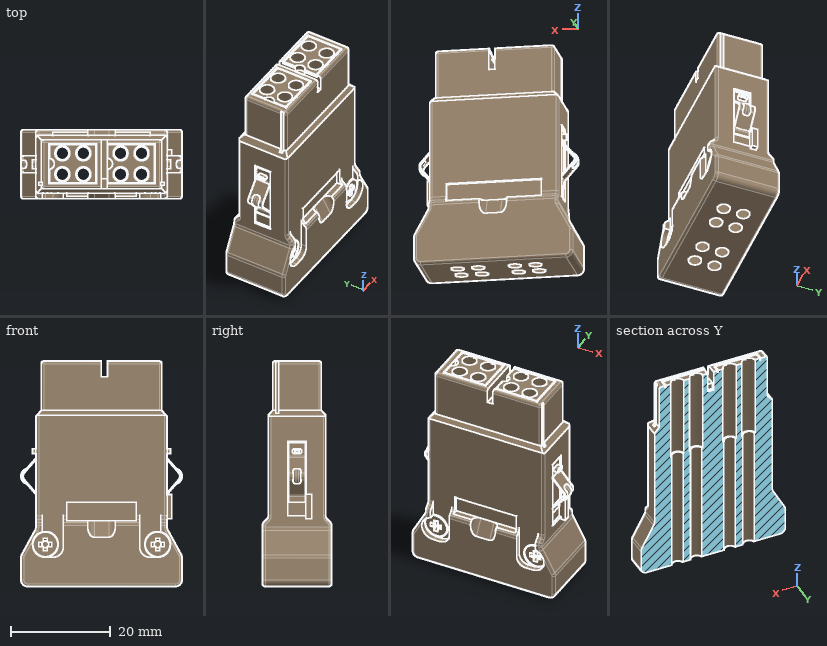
import cadquery as cq
import math

base_width = 32.4
base_depth = 13.9
base_side_height = 6.1
flare_top = 11.65
side_corner_radius = 1.35
edge_radius = 0.55

body_width = 26.35
body_depth = 11.55
body_top = 35.4
shoulder_side_drop = 1.22
shoulder_front_drop = 0.95

base_front_height = 12.7
slope_top = base_front_height + (base_depth - body_depth) / 2
slope_foot_radius = 0.85
slope_radius = 1.1

head_width = 24.25
head_depth = 9.85
total_height = 45.3

key_slot_left = -0.05
key_slot_width = 1.22
key_slot_floor = 42.15
key_slot_inner_floor = 40.75
key_slot_lip = 2.05

insert_width = 9.65
insert_depth = 8.05
insert_centers = (-5.75, 5.95)
insert_y = 0.1
seam_width = 0.2
seam_depth = 0.45
contact_pitch = 4.2
contact_diameter = 3.0
contact_depth = 18.1
bore_diameter = 2.6
notch_diameter = 2.2
notch_depth = 1.35

guide_width = 0.6
guide_y = -3.95
guide_inset = 0.2
guide_outset = 0.55
guide_bottom = 34.85

front_window_width = 14.05
back_window_width = 19.5
window_bottom = 13.25
window_top = 16.95
window_recess = 0.7

scoop_flat_width = 3.0
scoop_width = 5.6
scoop_bottom = 9.9
scoop_top = window_bottom

screw_x = 11.3
screw_z = 8.45
screw_head_diameter = 5.0
screw_clearance = 0.1
screw_gap_depth = 0.23
recess_outer_x = 11.9
recess_inner_x = 7.65
recess_corner_radius = 2.1
drive_span = 2.55
drive_core = 1.35
drive_arm_width = 0.85
drive_depth = 0.7
drive_core_depth = 0.9

spring_pocket_width = 3.65
spring_pocket_bottom = 14.2
spring_pocket_top = 29.2
spring_pocket_depth = 0.45
spring_width = 3.35
spring_thickness = 0.23
spring_bottom = 16.9
spring_top = 28.9
bow_bottom = 18.25
bow_top = 26.05
bow_radius = 1.15
bow_foot_radius = 0.45
bead_width = 2.0
bead_radius = 1.6
bead_edge_radius = 0.72
bead_height = 0.2
stud_z = 27.2
stud_width = 1.9
stud_height = 1.0
stud_reach = 0.7
stud_slot_width = 1.0
stud_slot_height = 0.35

coding_rib_reach = 0.95
coding_rib_y = 1.7
coding_rib_width = 1.22
coding_rib_bottom = 13.6
coding_rib_top = 18.55

body_side = body_width / 2
body_front = body_depth / 2
base_front = base_depth / 2
base_top = slope_top + slope_radius
window_panel = body_front - window_recess
screw_pocket_radius = screw_head_diameter / 2 + screw_clearance
bow_apex_z = (bow_bottom + bow_top) / 2


def block(x_min, x_max, y_min, y_max, z_min, z_max):
    size = (x_max - x_min, y_max - y_min, z_max - z_min)
    return cq.Workplane("XY").box(*size, centered=False).translate((x_min, y_min, z_min))


def centered_block(width, depth, z_min, z_max):
    return block(-width / 2, width / 2, -depth / 2, depth / 2, z_min, z_max)


def extrude_along_y(points, depth):
    """Extrude an outline of (x, z) points symmetrically along Y."""
    return cq.Workplane("XZ").polyline(points).close().extrude(depth / 2, both=True)


def extrude_along_x(points, width):
    """Extrude an outline of (y, z) points symmetrically along X."""
    return cq.Workplane("YZ").polyline(points).close().extrude(width / 2, both=True)


def mirrored_outline(points):
    """Complete a right-hand outline, listed bottom to top, with its left-hand mirror."""
    return points + [(-u, v) for u, v in reversed(points)]


def fillet_near(solid, direction, z, radius):
    """Round the edges of one direction that lie at height z."""
    tolerance = 0.1
    band = cq.selectors.BoxSelector(
        (-base_width, -base_depth, z - tolerance), (base_width, base_depth, z + tolerance)
    )
    return solid.edges(direction).edges(band).fillet(radius)


def make_base():
    """Flared base with front and back slopes up to the body."""
    half = base_width / 2
    outline = mirrored_outline([
        (half, 0),
        (half, base_side_height),
        (body_side, flare_top),
        (body_side, base_top),
    ])
    base = extrude_along_y(outline, base_depth)
    below_body = cq.selectors.BoxSelector(
        (-base_width, -base_depth, -0.45), (base_width, base_depth, flare_top + 0.45)
    )
    base = base.edges("|Y").edges(below_body).fillet(side_corner_radius)
    profile = mirrored_outline([
        (base_front, 0),
        (base_front, base_front_height),
        (body_front, slope_top),
        (body_front, base_top),
    ])
    envelope = extrude_along_x(profile, base_width)
    envelope = fillet_near(envelope, "|X", slope_top, slope_radius)
    envelope = fillet_near(envelope, "|X", base_front_height, slope_foot_radius)
    base = base.intersect(envelope)
    return base.faces("<Z").edges("|X").fillet(edge_radius)


def make_body():
    """Upright body with a chamfered shoulder around the head."""
    body = centered_block(body_width, body_depth, base_side_height, body_top)
    body = body.edges("|Z").fillet(edge_radius)
    head_front = head_depth / 2
    head_side = head_width / 2
    front_outline = mirrored_outline([
        (body_side, 0),
        (body_side, body_top - shoulder_side_drop),
        (head_side, body_top),
    ])
    side_outline = mirrored_outline([
        (body_front, 0),
        (body_front, body_top - shoulder_front_drop),
        (head_front, body_top),
    ])
    body = body.intersect(extrude_along_y(front_outline, body_depth))
    return body.intersect(extrude_along_x(side_outline, body_width))


def make_head():
    """Block rising through the shoulder, with rounded upper edges."""
    head = centered_block(head_width, head_depth, base_side_height, total_height)
    return head.edges("|Z or >Z").fillet(edge_radius)


def key_slot():
    """Slot splitting the two inserts, deeper behind its front lip."""
    right = key_slot_left + key_slot_width
    front = -head_depth / 2
    slot = block(key_slot_left, right, front, -front, key_slot_floor, total_height)
    inner = block(key_slot_left, right, front + key_slot_lip, -front, key_slot_inner_floor, total_height)
    return slot.union(inner)


def insert_cuts(x):
    """Seam around one insert, its polarising notch and its four contact holes."""
    top = cq.Workplane("XY", origin=(x, insert_y, total_height))
    seam = (
        top.rect(insert_width, insert_depth)
        .rect(insert_width - 2 * seam_width, insert_depth - 2 * seam_width)
        .extrude(-seam_depth)
    )
    notch = top.center(-insert_width / 2, 0).circle(notch_diameter / 2).extrude(-notch_depth)
    notch = notch.intersect(
        block(x - insert_width / 2, x, -head_depth, head_depth, 0, total_height)
    )
    holes = top.rarray(contact_pitch, contact_pitch, 2, 2)
    contacts = holes.circle(contact_diameter / 2).extrude(-contact_depth)
    bores = holes.circle(bore_diameter / 2).extrude(-total_height)
    return seam.union(notch).union(contacts).union(bores)


def guide_groove(side):
    """Shallow groove down one end of the head, running out into the shoulder."""
    groove = block(
        head_width / 2 - guide_inset, head_width / 2 + guide_outset,
        guide_y - guide_width / 2, guide_y + guide_width / 2,
        guide_bottom, total_height,
    )
    return groove if side > 0 else groove.mirror("YZ")


def window(width, side):
    """Label window on the front (side -1) or back (side +1)."""
    pocket = block(-width / 2, width / 2, window_panel, base_front, window_bottom, window_top)
    return pocket if side > 0 else pocket.mirror("XZ")


def scoop(side):
    """Finger scoop with rounded ends, sloping out to the base face."""
    round_radius = (scoop_width - scoop_flat_width) / 2
    flat = scoop_flat_width / 2
    edge = scoop_width / 2
    diagonal = round_radius * math.sqrt(0.5)
    floor = window_panel
    section = (
        cq.Workplane("XY", origin=(0, 0, scoop_top))
        .moveTo(-flat, floor)
        .lineTo(flat, floor)
        .threePointArc((flat + diagonal, floor + round_radius - diagonal), (edge, floor + round_radius))
        .lineTo(edge, 2 * base_front)
        .lineTo(-edge, 2 * base_front)
        .lineTo(-edge, floor + round_radius)
        .threePointArc((-flat - diagonal, floor + round_radius - diagonal), (-flat, floor))
        .close()
    )
    path = cq.Workplane("YZ").moveTo(floor, scoop_top).lineTo(base_front, scoop_bottom)
    cut = section.sweep(path)
    return cut if side > 0 else cut.mirror("XZ")


def screw_plane():
    """Workplane on the face of the right-hand screw head, facing forward."""
    return cq.Workplane("XZ", origin=(screw_x, -body_front, screw_z))


def screw_recess(side):
    """Opening in the front of the base above and around one screw head."""
    bottom = screw_z - screw_pocket_radius
    channel = block(recess_inner_x, recess_outer_x, -base_front, -body_front, bottom, base_top)
    channel = channel.edges("|Y and <X and <Z").fillet(recess_corner_radius)
    channel = channel.cut(
        block(screw_x, recess_outer_x, -base_front, -body_front, bottom, screw_z)
    )
    pocket = screw_plane().circle(screw_pocket_radius).extrude(base_front - body_front)
    recess = channel.union(pocket)
    return recess if side > 0 else recess.mirror("YZ")


def screw_details(side):
    """Ring-shaped gap around one screw head, and its cross drive."""
    rings = screw_plane().circle(screw_pocket_radius).circle(screw_head_diameter / 2)
    gap = rings.extrude(-screw_gap_depth)
    details = gap.union(cross_drive())
    return details if side > 0 else details.mirror("YZ")


def cross_drive():
    """Cross-shaped screw drive whose arms taper towards a round core."""
    front = screw_plane()
    arm = (
        front.rect(drive_span, drive_arm_width)
        .workplane(offset=-drive_depth)
        .rect(drive_core, drive_arm_width)
        .loft(combine=True)
    )
    crossing_arm = arm.rotate((screw_x, 0, screw_z), (screw_x, 1, screw_z), 90)
    core = front.circle(drive_core / 2).extrude(-drive_core_depth)
    return arm.union(crossing_arm).union(core)


def spring_pocket():
    """Shallow pocket in the +X side that holds the spring."""
    half = spring_pocket_width / 2
    return block(
        body_side - spring_pocket_depth, body_side, -half, half, spring_pocket_bottom, spring_pocket_top
    )


def spring():
    """Bowed strip spring with a detent bead and a slotted retaining stud."""
    root = body_side - spring_pocket_depth
    face = root + spring_thickness
    apex = base_width / 2 - bead_height
    half_bow = (bow_top - bow_bottom) / 2
    sharp_tip = apex
    refinement_passes = 20
    for _ in range(refinement_passes):
        flank = math.hypot(half_bow, sharp_tip - face)
        sharp_tip = apex + bow_radius * (flank - half_bow) / half_bow
    outline = [
        (root, spring_bottom),
        (face, spring_bottom),
        (face, bow_bottom),
        (sharp_tip, bow_apex_z),
        (face, bow_top),
        (face, spring_top),
        (root, spring_top),
    ]
    bow = extrude_along_y(outline, spring_width)
    bow = bow.edges(">X").fillet(bow_radius)
    bow = fillet_near(bow, "|Y", bow_bottom, bow_foot_radius)
    bow = fillet_near(bow, "|Y", bow_top, bow_foot_radius)
    hollow = bow.translate((-spring_thickness * flank / half_bow, 0, 0))

    bead_center = (base_width / 2 - bead_radius, 0, bow_apex_z)
    bead = cq.Workplane("XZ", origin=bead_center).circle(bead_radius).extrude(bead_width / 2, both=True)
    bead = bead.edges().fillet(bead_edge_radius)
    root_plate = block(
        root, face, -spring_width / 2, spring_width / 2, spring_bottom, spring_top
    )
    strip = bow.union(bead).cut(hollow).union(root_plate)

    side = cq.Workplane("YZ", origin=(root, 0, stud_z))
    stud_length = body_side - root + stud_reach
    stud = side.slot2D(stud_width, stud_height).extrude(stud_length)
    tip = side.workplane(offset=stud_length)
    stud = stud.cut(tip.slot2D(stud_slot_width, stud_slot_height).extrude(-stud_reach))
    return strip.union(stud)


def coding_rib():
    """Small rib on the +X side, next to the spring."""
    reach = body_side + coding_rib_reach
    back = coding_rib_y + coding_rib_width
    return block(body_side - edge_radius, reach, coding_rib_y, back, coding_rib_bottom, coding_rib_top)


base = make_base()
for side in (-1, 1):
    base = base.cut(screw_recess(side))

result = base.union(make_body()).union(make_head())
result = result.cut(key_slot())
for insert_x in insert_centers:
    result = result.cut(insert_cuts(insert_x))

result = result.cut(window(front_window_width, -1)).cut(window(back_window_width, 1))
for side in (-1, 1):
    result = result.cut(scoop(side))
    result = result.cut(screw_details(side))
    result = result.cut(guide_groove(side))

pocket = spring_pocket()
latch = spring()
result = result.cut(pocket).cut(pocket.mirror("YZ"))
result = result.union(latch).union(latch.mirror("YZ")).union(coding_rib())